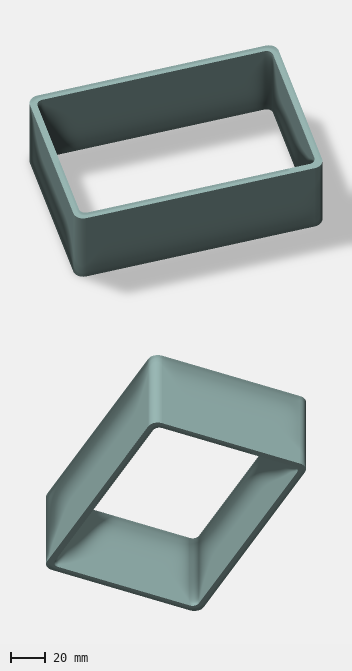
import cadquery as cq

length = 150.0
width = length * 2 / 3
height = length / 3
wall = 4.0
outer_radius = 6.0
inner_radius = 3.9


def rounded_block(size_x, size_y, corner_radius):
    """Upright block with its four vertical edges rounded."""
    block = cq.Workplane("XY").box(size_x, size_y, height)
    return block.edges("|Z").fillet(corner_radius)


outer = rounded_block(width, length, outer_radius)
opening = rounded_block(width - 2 * wall, length - 2 * wall, inner_radius)
result = outer.cut(opening)